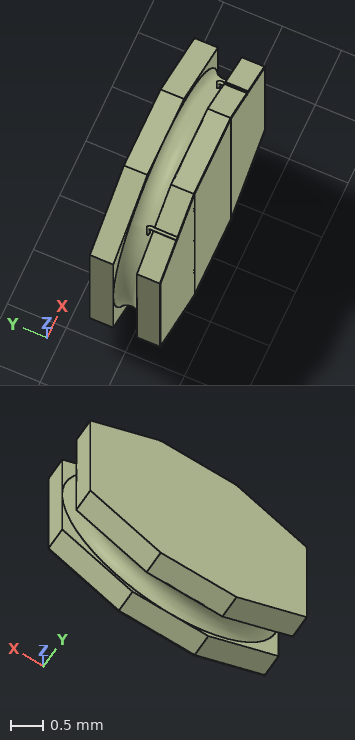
import cadquery as cq
import math

SIZE = 4.0
DEPTH = 1.2
HALF = SIZE / 2
FRONT_Y = -DEPTH / 2
BACK_Y = DEPTH / 2

FLAT_HALF_WIDTH = 0.7
SLOPE_ANGLE = 30.0
SLOPE = math.tan(math.radians(SLOPE_ANGLE))
SIDE_HALF_HEIGHT = HALF - (HALF - FLAT_HALF_WIDTH) * SLOPE

WINDING_HALF_WIDTH = 0.2
POST_RADIUS = 1.0
WINDING_RADIUS = HALF
WINDING_SAG = 0.095

PLATE_THICKNESS = 0.01
FLANGE_FRONT_Y = FRONT_Y + PLATE_THICKNESS

WIRE_RADIUS = 0.03
WIRE_X = 1.335
WIRE_Y = -0.1
WIRE_END_Z = 1.34
BEND_RADIUS = 0.05
SLOPE_Z_AT_WIRE = HALF - (WIRE_X - FLAT_HALF_WIDTH) * SLOPE
WIRE_Z = SLOPE_Z_AT_WIRE - WIRE_RADIUS / math.cos(math.radians(SLOPE_ANGLE))


def prism(points, y_start, y_end):
    """Extrude an XZ outline from y_start to y_end."""
    return (
        cq.Workplane("XZ", origin=(0, y_start, 0))
        .polyline(points)
        .close()
        .extrude(y_start - y_end)
    )


def octagon(y_start, y_end):
    """Octagonal slab filling the full outline."""
    points = [
        (FLAT_HALF_WIDTH, HALF),
        (HALF, SIDE_HALF_HEIGHT),
        (HALF, -SIDE_HALF_HEIGHT),
        (FLAT_HALF_WIDTH, -HALF),
        (-FLAT_HALF_WIDTH, -HALF),
        (-HALF, -SIDE_HALF_HEIGHT),
        (-HALF, SIDE_HALF_HEIGHT),
        (-FLAT_HALF_WIDTH, HALF),
    ]
    return prism(points, y_start, y_end)


def make_lead(side):
    """Round wire along the flange slot, bent down into the winding."""
    x = side * WIRE_X
    bend_y = WIRE_Y - BEND_RADIUS
    bend_z = WIRE_Z - BEND_RADIUS
    diagonal = BEND_RADIUS * math.sqrt(0.5)
    path = (
        cq.Workplane("YZ", origin=(x, 0, 0))
        .moveTo(FLANGE_FRONT_Y, WIRE_Z)
        .lineTo(bend_y, WIRE_Z)
        .threePointArc((bend_y + diagonal, bend_z + diagonal), (WIRE_Y, bend_z))
        .lineTo(WIRE_Y, WIRE_END_Z)
    )
    return (
        cq.Workplane("XZ", origin=(x, FLANGE_FRONT_Y, WIRE_Z))
        .circle(WIRE_RADIUS)
        .sweep(path)
    )


def make_slot(side):
    """Round-bottomed slot opening square to the slanted flange face."""
    length = -WINDING_HALF_WIDTH - FLANGE_FRONT_Y
    middle_y = (FLANGE_FRONT_Y - WINDING_HALF_WIDTH) / 2
    round_bottom = cq.Workplane("XZ").circle(WIRE_RADIUS).extrude(length / 2, both=True)
    opening_height = 2 * WIRE_RADIUS
    opening = (
        cq.Workplane("XY")
        .box(2 * WIRE_RADIUS, length, opening_height, centered=(True, True, False))
    )
    return (
        round_bottom.union(opening)
        .rotate((0, 0, 0), (0, 1, 0), side * SLOPE_ANGLE)
        .translate((side * WIRE_X, middle_y, WIRE_Z))
    )


def make_core():
    """Two octagonal flanges joined by a round post, with two lead slots."""
    core = octagon(WINDING_HALF_WIDTH, BACK_Y)
    core = core.union(octagon(FLANGE_FRONT_Y, -WINDING_HALF_WIDTH))
    post = (
        cq.Workplane("XZ")
        .circle(POST_RADIUS)
        .extrude(WINDING_HALF_WIDTH, both=True)
    )
    core = core.union(post)
    for side in (-1, 1):
        core = core.cut(make_slot(side))
    return core


def make_winding(leads):
    """Ring with a concave rim made of two arcs meeting at mid width."""
    waist = WINDING_RADIUS - WINDING_SAG
    arc_radius = (WINDING_HALF_WIDTH**2 + WINDING_SAG**2) / (2 * WINDING_SAG)
    quarter_y = arc_radius * math.sin(math.asin(WINDING_HALF_WIDTH / arc_radius) / 2)
    quarter_z = waist + arc_radius - math.sqrt(arc_radius**2 - quarter_y**2)
    winding = (
        cq.Workplane("YZ")
        .moveTo(-WINDING_HALF_WIDTH, POST_RADIUS)
        .lineTo(-WINDING_HALF_WIDTH, WINDING_RADIUS)
        .threePointArc((-quarter_y, quarter_z), (0, waist))
        .threePointArc((quarter_y, quarter_z), (WINDING_HALF_WIDTH, WINDING_RADIUS))
        .lineTo(WINDING_HALF_WIDTH, POST_RADIUS)
        .close()
        .revolve(360, (0, 0, 0), (1, 0, 0))
    )
    for lead in leads:
        winding = winding.cut(lead)
    return winding


def make_side_plate(side):
    """Thin terminal plate covering one slanted end of the front flange."""
    points = [
        (side * FLAT_HALF_WIDTH, HALF),
        (side * HALF, SIDE_HALF_HEIGHT),
        (side * HALF, -SIDE_HALF_HEIGHT),
        (side * FLAT_HALF_WIDTH, -HALF),
    ]
    return prism(points, FRONT_Y, FLANGE_FRONT_Y)


def make_middle_plate():
    """Thin strip between the two terminal plates."""
    points = [
        (-FLAT_HALF_WIDTH, HALF),
        (FLAT_HALF_WIDTH, HALF),
        (FLAT_HALF_WIDTH, -HALF),
        (-FLAT_HALF_WIDTH, -HALF),
    ]
    return prism(points, FRONT_Y, FLANGE_FRONT_Y)


leads = [make_lead(side) for side in (-1, 1)]
side_plates = [make_side_plate(side) for side in (-1, 1)]
core = make_core()
winding = make_winding(leads)
middle_plate = make_middle_plate()

result = cq.Compound.makeCompound([
    core.val(),
    winding.val(),
    *[lead.val() for lead in leads],
    *[plate.val() for plate in side_plates],
    middle_plate.val(),
])